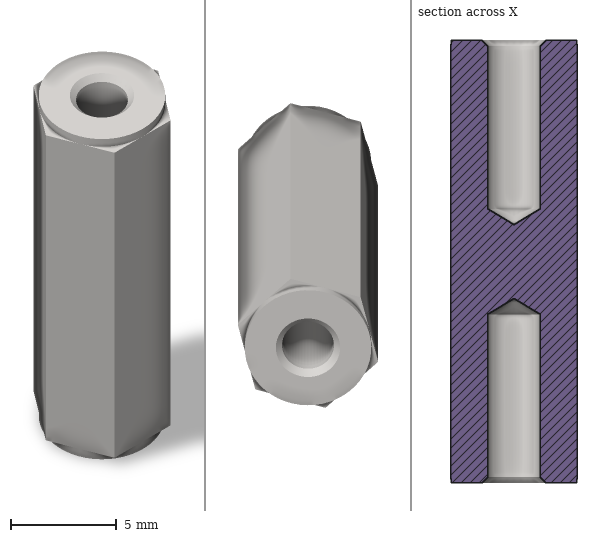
import cadquery as cq
import math

total_length = 21.0
hex_sides = 6
across_flats = 6.0
collar_height = 0.5
hole_diameter = 2.46
countersink_diameter = 3.05
countersink_angle = 90.0
hole_depth = 8.0
drill_point_angle = 118.0

hex_length = total_length - 2 * collar_height
across_corners = across_flats / math.cos(math.pi / hex_sides)
hole_radius = hole_diameter / 2
countersink_radius = countersink_diameter / 2


def cone_height(radius_change, included_angle):
    """Axial length over which a cone's radius changes by radius_change."""
    return radius_change / math.tan(math.radians(included_angle / 2))


def make_body():
    """Hexagonal bar with a round collar at each end, its base at Z = 0."""
    core = cq.Workplane("XY").circle(across_flats / 2).extrude(total_length)
    hexagon = (
        cq.Workplane("XY")
        .workplane(offset=collar_height)
        .polygon(hex_sides, across_corners)
        .extrude(hex_length)
    )
    return core.union(hexagon)


def make_top_hole():
    """Countersunk blind hole with a conical drill point, opening at the top face."""
    countersink_bottom = total_length - cone_height(countersink_radius - hole_radius, countersink_angle)
    wall_bottom = total_length - hole_depth
    tip = wall_bottom - cone_height(hole_radius, drill_point_angle)
    half_section = [
        (0, total_length),
        (countersink_radius, total_length),
        (hole_radius, countersink_bottom),
        (hole_radius, wall_bottom),
        (0, tip),
    ]
    return cq.Workplane("XZ").polyline(half_section).close().revolve(360, (0, 0, 0), (0, 1, 0))


top_hole = make_top_hole()
bottom_hole = top_hole.mirror("XY", (0, 0, total_length / 2))

result = make_body().cut(top_hole).cut(bottom_hole)